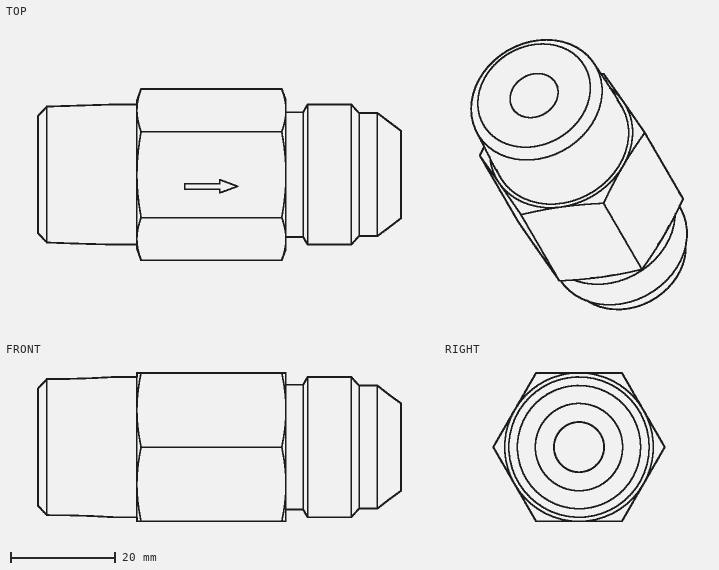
import cadquery as cq
import math

total_length = 69.85
thread_chamfer_end = 1.75
thread_taper_end = 14.55
hex_start = 19.05
hex_end = 47.7
collar_start = 51.0
collar_end = 60.25
nose_start = 61.75

bore_diameter = 9.6
thread_face_diameter = 22.5
shank_diameter = 27.0
neck_diameter = 24.05
collar_diameter = 26.98
nose_diameter = 23.7

pipe_taper = 1 / 16
collar_chamfer_angle = 30.0
flare_angle = 37.0
nose_tip_diameter = 16.8

across_flats = 28.575
hex_chamfer_angle = 20.0

arrow_tail_x = 28.2
arrow_head_x = 34.95
arrow_tip_x = 38.4
arrow_center_y = -2.25
arrow_shaft_width = 1.05
arrow_head_width = 2.55
arrow_depth = 0.2

thread_small_diameter = shank_diameter - pipe_taper * (thread_taper_end - thread_chamfer_end)
collar_chamfer_length = (
    (collar_diameter - neck_diameter) / 2 * math.tan(math.radians(collar_chamfer_angle))
)
flare_length = (nose_diameter - nose_tip_diameter) / 2 / math.tan(math.radians(flare_angle))
across_corners = across_flats / math.cos(math.radians(30))
hex_chamfer_length = (
    (across_corners - across_flats) / 2 * math.tan(math.radians(hex_chamfer_angle))
)


def revolve_profile(stations):
    """Revolve (x, diameter) stations into a solid about the X axis."""
    first_x = stations[0][0]
    last_x = stations[-1][0]
    outline = [(first_x, 0)]
    outline += [(x, diameter / 2) for x, diameter in stations]
    outline.append((last_x, 0))
    return cq.Workplane("XY").polyline(outline).close().revolve(360, (0, 0), (1, 0))


def make_threaded_end():
    """Tapered pipe end with a lead-in chamfer, running up to the hexagon."""
    return revolve_profile([
        (0, thread_face_diameter),
        (thread_chamfer_end, thread_small_diameter),
        (thread_taper_end, shank_diameter),
        (hex_start, shank_diameter),
    ])


def make_flare_end():
    """Neck, collar and nose ending in the flare sealing cone."""
    return revolve_profile([
        (hex_end, neck_diameter),
        (collar_start, neck_diameter),
        (collar_start + collar_chamfer_length, collar_diameter),
        (collar_end, collar_diameter),
        (nose_start, nose_diameter),
        (total_length - flare_length, nose_diameter),
        (total_length, nose_tip_diameter),
    ])


def make_hexagon():
    """Hexagonal body whose corners are turned off by a cone at each end."""
    prism = (
        cq.Workplane("YZ")
        .workplane(offset=hex_start)
        .polygon(6, across_corners)
        .extrude(hex_end - hex_start)
    )
    turned_blank = revolve_profile([
        (hex_start, across_flats),
        (hex_start + hex_chamfer_length, across_corners),
        (hex_end - hex_chamfer_length, across_corners),
        (hex_end, across_flats),
    ])
    return prism.intersect(turned_blank)


def make_bore():
    """Straight bore through the whole length."""
    return cq.Workplane("YZ").circle(bore_diameter / 2).extrude(total_length)


def make_flow_arrow():
    """Shallow cutter in the shape of an arrow pointing to the flare end."""
    half_shaft = arrow_shaft_width / 2
    half_head = arrow_head_width / 2
    return (
        cq.Workplane("XY", origin=(0, arrow_center_y, across_flats / 2))
        .polyline([
            (arrow_tail_x, -half_shaft),
            (arrow_head_x, -half_shaft),
            (arrow_head_x, -half_head),
            (arrow_tip_x, 0),
            (arrow_head_x, half_head),
            (arrow_head_x, half_shaft),
            (arrow_tail_x, half_shaft),
        ])
        .close()
        .extrude(-arrow_depth)
    )


body = make_hexagon().union(make_threaded_end()).union(make_flare_end())
result = body.cut(make_bore()).cut(make_flow_arrow())